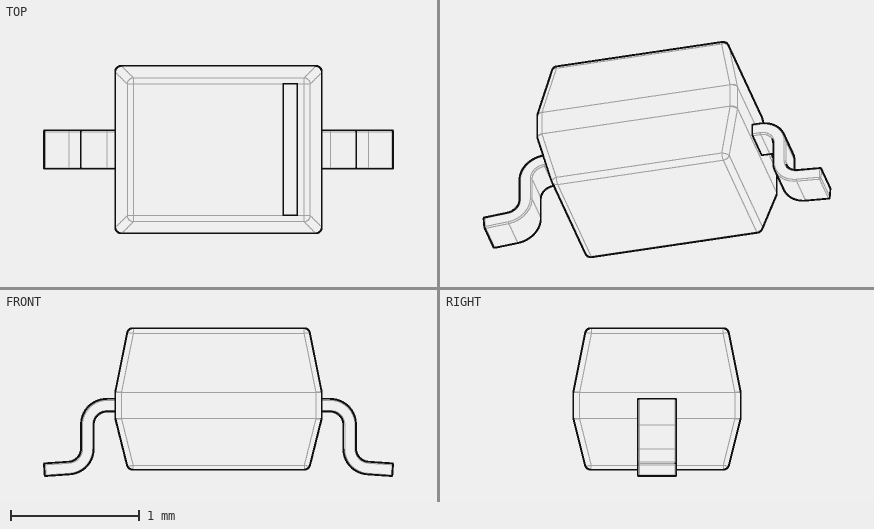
import cadquery as cq
import math

overall_length = 2.71
housing_length = 1.605
housing_width = 1.3
standoff = 0.05

lower_cap_height = 0.4
band_height = 0.2
upper_cap_height = 0.499
cap_inset = 0.1
housing_edge_radius = 0.05
housing_height = lower_cap_height + band_height + upper_cap_height
lower_cap_taper = math.degrees(math.atan(cap_inset / lower_cap_height))
upper_cap_taper = math.degrees(math.atan(cap_inset / upper_cap_height))

stripe_width = 0.105
stripe_outer_x = 0.61
stripe_depth = 0.01
top_round_setback = housing_edge_radius * math.tan(math.radians(90 - upper_cap_taper) / 2)
stripe_length = housing_width - 2 * (cap_inset + top_round_setback)

lead_width = 0.3
lead_thickness = 0.1
lead_edge_radius = 0.01
lead_exit_length = 0.065
bend_radius = 1.5 * lead_thickness
foot_tilt = 4.0
lead_exit_z = lower_cap_height + band_height / 2


def make_cap(height, taper, direction):
    """Tapered block that starts at Z = 0 and goes up (direction 1) or down (-1)."""
    return (
        cq.Workplane("XY")
        .rect(housing_length, housing_width)
        .extrude(direction * height, taper=taper)
    )


def make_housing():
    band = (
        cq.Workplane("XY")
        .box(housing_length, housing_width, band_height, centered=(True, True, False))
        .translate((0, 0, lower_cap_height))
    )
    lower_cap = make_cap(lower_cap_height, lower_cap_taper, -1).translate((0, 0, lower_cap_height))
    upper_cap = make_cap(upper_cap_height, upper_cap_taper, 1).translate(
        (0, 0, lower_cap_height + band_height)
    )
    block = band.union(lower_cap).union(upper_cap)

    corners = block.edges("not(#Z)")
    rims = block.faces("<Z or >Z").edges()
    block = block.newObject(corners.vals() + rims.vals()).fillet(housing_edge_radius)

    stripe = (
        cq.Workplane("XY")
        .box(stripe_width, stripe_length, stripe_depth)
        .translate((stripe_outer_x - stripe_width / 2, 0, housing_height - stripe_depth / 2))
    )
    return block.cut(stripe)


def make_lead():
    """Lead on the +X side: out of the housing, down, and out again along the foot."""
    tilt = math.radians(foot_tilt)
    round_offset = lead_thickness / 2 - lead_edge_radius
    diagonal = math.sqrt(0.5)

    start = (housing_length / 2, lead_exit_z)
    upper_bend_start = (start[0] + lead_exit_length, lead_exit_z)
    upper_bend_centre = (upper_bend_start[0], lead_exit_z - bend_radius)
    upper_bend_middle = (
        upper_bend_centre[0] + bend_radius * diagonal,
        upper_bend_centre[1] + bend_radius * diagonal,
    )
    shank_x = upper_bend_centre[0] + bend_radius
    upper_bend_end = (shank_x, upper_bend_centre[1])

    tip_x = (
        overall_length / 2 - lead_edge_radius
        + lead_edge_radius * math.cos(tilt)
        - round_offset * math.sin(tilt)
    )
    tip_z = (
        -standoff + lead_edge_radius
        - lead_edge_radius * math.sin(tilt)
        + round_offset * math.cos(tilt)
    )
    lower_bend_centre_x = shank_x + bend_radius
    foot_start_x = lower_bend_centre_x - bend_radius * math.sin(tilt)
    foot_start_z = tip_z + (tip_x - foot_start_x) * math.tan(tilt)
    lower_bend_centre_z = foot_start_z + bend_radius * math.cos(tilt)
    lower_bend_start = (shank_x, lower_bend_centre_z)
    half_turn = (math.pi / 2 - tilt) / 2
    lower_bend_middle = (
        lower_bend_centre_x - bend_radius * math.cos(half_turn),
        lower_bend_centre_z - bend_radius * math.sin(half_turn),
    )

    path = (
        cq.Workplane("XZ")
        .moveTo(*start)
        .lineTo(*upper_bend_start)
        .threePointArc(upper_bend_middle, upper_bend_end)
        .lineTo(*lower_bend_start)
        .threePointArc(lower_bend_middle, (foot_start_x, foot_start_z))
        .lineTo(tip_x, tip_z)
    )
    strip = (
        cq.Workplane("YZ", origin=(start[0], 0, start[1]))
        .rect(lead_width, lead_thickness)
        .sweep(path)
    )

    long_edges = strip.edges("not(|Y)").edges("not(<X)")
    tip_edges = strip.faces(">X").edges("|Y")
    return strip.newObject(long_edges.vals() + tip_edges.vals()).fillet(lead_edge_radius)


housing = make_housing()
right_lead = make_lead()
leads = [right_lead.rotate((0, 0, 0), (0, 0, 1), angle) for angle in (0, 180)]

result = cq.Compound.makeCompound([housing.val(), *[lead.val() for lead in leads]])